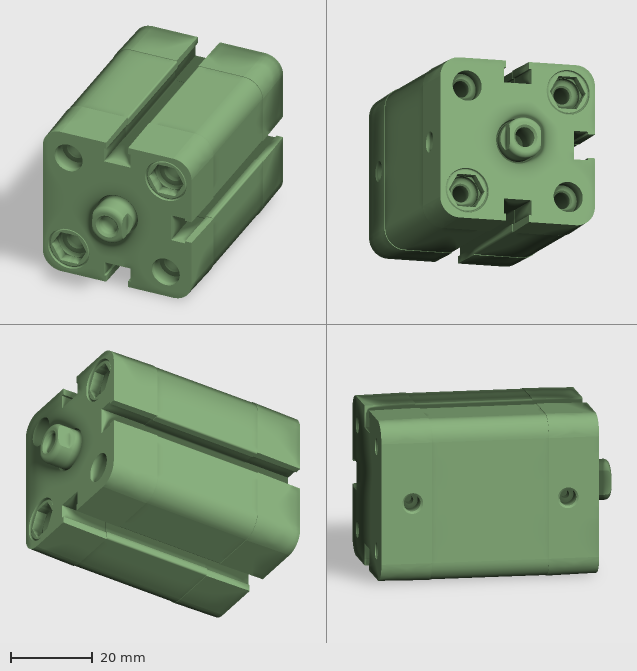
import cadquery as cq
import math


body_length = 54.0
cap_length = 12.5
profile_side = 40.0
profile_corner_radius = 5.0
cap_side = 40.3
cap_face_side = 39.85

cap_slot_floor = 14.45
cap_lip_width = 5.9
cap_pocket_width = 7.1
cap_lip_underside = 18.2
profile_slot_floor = 14.4
profile_lip_width = 5.5
profile_pocket_width = 6.8
profile_lip_underside = 18.05
profile_lip_radius = 0.4
profile_floor_radius = 0.3
slot_angles = (0, 90, 180)

hole_offset = 13.0
through_diameter = 4.15
hole_mouth_diameter = 5.0
hole_mouth_depth = (hole_mouth_diameter - through_diameter) / 2
counterbore_diameter = 7.5
counterbore_depth = 4.5

head_recess_mouth_diameter = 11.1
head_recess_diameter = 10.8
head_diameter = 10.5
head_face_diameter = 10.0
head_face_depth = 0.35
head_chamfer = (head_diameter - head_face_diameter) / 2
head_recess_depth = head_face_depth + head_chamfer
socket_across_flats = 8.0
socket_depth = 3.1
socket_relief_diameter = 8.1
socket_bore_diameter = 8.0
socket_bore_depth = 4.4
socket_floor_diameter = 7.55
socket_floor_depth = socket_bore_depth + (socket_bore_diameter - socket_floor_diameter) / 2

rod_diameter = 10.0
rod_length = 6.0
rod_end_radius = 1.25
rod_seal_diameter = 10.5
rod_seal_mouth_diameter = 11.1
rod_seal_depth = 0.6
rod_flat_width = 8.0
rod_flat_length = 3.3
rod_bore_diameter = 4.9
rod_bore_mouth_diameter = 6.05
rod_bore_depth = 9.6
rod_bore_tip_diameter = 3.3

port_distance_from_end = 7.7
port_diameter = 4.15
port_mouth_diameter = 5.35
port_depth = 4.5
air_passage_diameter = 2.0
air_passage_depth = 7.2


def plane_at(y):
    """XZ plane at depth y whose normal points into the body (+Y)."""
    return cq.Workplane(cq.Plane(origin=(0, y, 0), xDir=(-1, 0, 0), normal=(0, 1, 0)))


def cylinder(x, y, z, diameter, length):
    return plane_at(y).center(-x, z).circle(diameter / 2).extrude(length)


def cone(x, y, z, start_diameter, end_diameter, length):
    start = cq.Vector(x, y, z)
    solid = cq.Solid.makeCone(start_diameter / 2, end_diameter / 2, length, start, cq.Vector(0, 1, 0))
    return cq.Workplane(solid)


def rounded_square(side):
    """Square whose corner centers stay put, so that its corner radius grows with the side."""
    corner_center = profile_side / 2 - profile_corner_radius
    return cq.Sketch().rect(side, side).vertices().fillet(side / 2 - corner_center)


def t_slot(y, length, floor, lip_width, pocket_width, lip_underside, floor_radius=0):
    """T-shaped groove in the top face, open upwards."""
    pocket_height = lip_underside - floor
    lip_height = cap_side / 2 - lip_underside
    pocket = plane_at(y).center(0, floor + pocket_height / 2).rect(pocket_width, pocket_height)
    pocket = pocket.extrude(length)
    if floor_radius:
        pocket = pocket.edges("<Z and |Y").fillet(floor_radius)
    mouth = plane_at(y).center(0, lip_underside + lip_height / 2).rect(lip_width, lip_height)
    return pocket.union(mouth.extrude(length))


def cut_slots(solid, slot):
    """Cut the slot into the top, the +X side and the bottom."""
    for angle in slot_angles:
        solid = solid.cut(slot.rotate((0, 0, 0), (0, 1, 0), angle))
    return solid


def end_cap(seam_y, face_y):
    """Cap tapering from the seam with the profile to its outer face."""
    near_y = min(seam_y, face_y)
    near_side, far_side = (cap_side, cap_face_side) if near_y == seam_y else (cap_face_side, cap_side)
    far_square = rounded_square(far_side).moved(cq.Location(cq.Vector(0, 0, cap_length)))
    cap = plane_at(near_y).placeSketch(rounded_square(near_side), far_square).loft()
    slot = t_slot(
        near_y, cap_length, cap_slot_floor, cap_lip_width, cap_pocket_width, cap_lip_underside
    )
    return cut_slots(cap, slot)


def profile():
    """Middle section; its slots have rounded lips and floor corners."""
    length = body_length - 2 * cap_length
    block = plane_at(cap_length).placeSketch(rounded_square(profile_side)).extrude(length)
    slot = t_slot(
        cap_length,
        length,
        profile_slot_floor,
        profile_lip_width,
        profile_pocket_width,
        profile_lip_underside,
        profile_floor_radius,
    )
    half_width = profile_lip_width / 2
    top = profile_side / 2
    lip_bottom = top - profile_lip_radius
    flare = (
        plane_at(cap_length)
        .moveTo(-half_width - profile_lip_radius, top)
        .radiusArc((-half_width, lip_bottom), profile_lip_radius)
        .lineTo(half_width, lip_bottom)
        .radiusArc((half_width + profile_lip_radius, top), profile_lip_radius)
        .close()
        .extrude(length)
    )
    return cut_slots(block, slot.union(flare))


def chamfered_through_hole(x, z, mouth_y):
    """Hole through the whole body with a chamfered mouth at depth mouth_y."""
    through = cylinder(x, 0, z, through_diameter, body_length)
    mouth = cone(x, mouth_y, z, hole_mouth_diameter, through_diameter, hole_mouth_depth)
    return through.union(mouth)


def plain_hole(x, z):
    """Counterbored hole through the whole body."""
    counterbore = cylinder(x, 0, z, counterbore_diameter, counterbore_depth)
    return counterbore.union(chamfered_through_hole(x, z, counterbore_depth))


def screw_hole(x, z):
    """Hollow screw: recessed chamfered head, hexagon socket and through hole."""
    recess = cone(x, 0, z, head_recess_mouth_diameter, head_recess_diameter, head_recess_depth)
    head = cone(x, head_face_depth, z, head_face_diameter, head_diameter, head_chamfer)
    across_corners = socket_across_flats / math.cos(math.pi / 6)
    hexagon = plane_at(0).center(-x, z).polygon(6, across_corners).extrude(socket_depth)
    relief = cylinder(x, 0, z, socket_relief_diameter, socket_depth)
    bore = cylinder(x, 0, z, socket_bore_diameter, socket_bore_depth)
    floor_cone_length = socket_floor_depth - socket_bore_depth
    floor = cone(x, socket_bore_depth, z, socket_bore_diameter, socket_floor_diameter, floor_cone_length)
    cut = recess.cut(head)
    for part in (hexagon, relief, bore, floor, chamfered_through_hole(x, z, socket_floor_depth)):
        cut = cut.union(part)
    return cut


def piston_rod():
    """Rounded rod end with two wrench flats, each running out in a 45 degree slope."""
    rod = cylinder(0, -rod_length, 0, rod_diameter, rod_length + rod_seal_depth)
    rod = rod.faces("<Y").edges().fillet(rod_end_radius)
    flat_depth = (rod_diameter - rod_flat_width) / 2
    flat_end = rod_flat_length - rod_length
    for side in (-1, 1):
        cutter = (
            cq.Workplane("XY")
            .moveTo(side * rod_flat_width / 2, -rod_length)
            .lineTo(side * rod_flat_width / 2, flat_end)
            .lineTo(side * rod_diameter / 2, flat_end + flat_depth)
            .lineTo(side * rod_diameter, flat_end + flat_depth)
            .lineTo(side * rod_diameter, -rod_length)
            .close()
            .extrude(rod_diameter / 2, both=True)
        )
        rod = rod.cut(cutter)
    return rod


def rod_bore():
    """Blind hole in the rod end with a chamfered mouth and a conical tip."""
    mouth_depth = (rod_bore_mouth_diameter - rod_bore_diameter) / 2
    tip_depth = (rod_bore_diameter - rod_bore_tip_diameter) / 2
    mouth = cone(0, -rod_length, 0, rod_bore_mouth_diameter, rod_bore_diameter, mouth_depth)
    bore = cylinder(0, -rod_length, 0, rod_bore_diameter, rod_bore_depth)
    tip_y = rod_bore_depth - rod_length
    tip = cone(0, tip_y, 0, rod_bore_diameter, rod_bore_tip_diameter, tip_depth)
    return mouth.union(bore).union(tip)


def rod_gap():
    """Shallow ring around the rod in the front face."""
    gap = cone(0, 0, 0, rod_seal_mouth_diameter, rod_seal_diameter, rod_seal_depth)
    return gap.cut(cylinder(0, 0, 0, rod_diameter, rod_seal_depth))


def port(y):
    """Air port with a chamfered mouth and a narrow air passage at its bottom."""
    start = cq.Vector(-cap_side / 2, y, 0)
    inward = cq.Vector(1, 0, 0)
    mouth_depth = (port_mouth_diameter - port_diameter) / 2
    mouth = cq.Solid.makeCone(port_mouth_diameter / 2, port_diameter / 2, mouth_depth, start, inward)
    bore = cq.Solid.makeCylinder(port_diameter / 2, port_depth, start, inward)
    passage = cq.Solid.makeCylinder(air_passage_diameter / 2, air_passage_depth, start, inward)
    return cq.Workplane(mouth).union(cq.Workplane(bore)).union(cq.Workplane(passage))


result = profile()
result = result.union(end_cap(cap_length, 0))
result = result.union(end_cap(body_length - cap_length, body_length))
result = result.cut(rod_gap()).union(piston_rod()).cut(rod_bore())
for side in (-1, 1):
    result = result.cut(plain_hole(side * hole_offset, -side * hole_offset))
    result = result.cut(screw_hole(side * hole_offset, side * hole_offset))
for port_y in (port_distance_from_end, body_length - port_distance_from_end):
    result = result.cut(port(port_y))